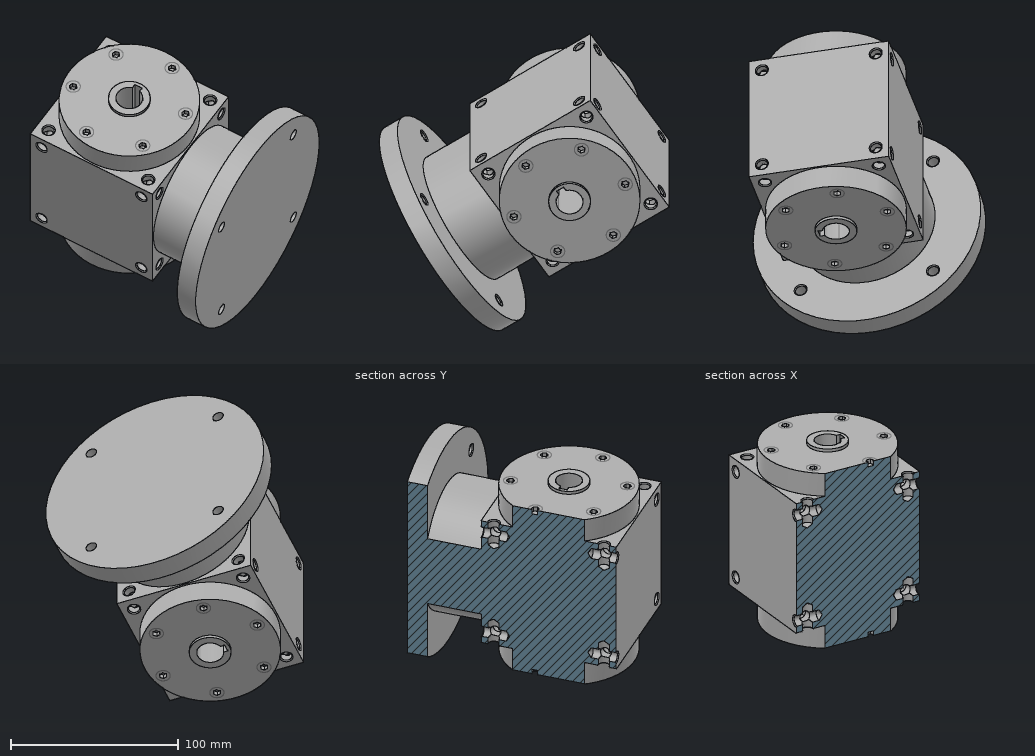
import cadquery as cq
import math

block_size = 86
neck_diameter = 84
cover_diameter = neck_diameter
cover_height = 15
cover_face = block_size / 2 + cover_height

flange_diameter = 140
flange_thickness = 13
flange_face = 90
flange_back = flange_face - flange_thickness
flange_bolt_circle = 115
flange_hole_count = 4
flange_start_angle = 45

core_diameter = 6.65
mouth_diameter = 8
countersink_angle = 90
drill_point_angle = 118
tapped_depth = 16
corner_hole_spacing = 70

screw_head_diameter = 8.5
screw_head_height = 5
socket_across_flats = 4
socket_depth = 3
screw_circle = 70
screw_count = 6
screw_start_angle = 15

shaft_diameter = 25
shaft_overhang = 2
shaft_length = 2 * (cover_face + shaft_overhang)
bore_diameter = 16
key_width = 5
key_top = 10.3


def cone_height(radius, full_angle):
    """Height over which a cone of the given full angle closes from radius to nothing."""
    return radius / math.tan(math.radians(full_angle / 2))


def tapped_hole(depth):
    """Cutter with its mouth at the origin, running down along -Z to a drill point."""
    core_radius = core_diameter / 2
    mouth_radius = mouth_diameter / 2
    countersink = cone_height(mouth_radius - core_radius, countersink_angle)
    tip = depth + cone_height(core_radius, drill_point_angle)
    return (
        cq.Workplane("XZ")
        .moveTo(0, 0)
        .lineTo(mouth_radius, 0)
        .lineTo(core_radius, -countersink)
        .lineTo(core_radius, -depth)
        .lineTo(0, -tip)
        .close()
        .revolve(360, (0, 0, 0), (0, 1, 0))
        .val()
    )


def housing_body():
    """Block with a cover above and below and a flanged neck toward +X."""
    block = cq.Workplane("XY").box(block_size, block_size, block_size)
    covers = cq.Workplane("XY").circle(cover_diameter / 2).extrude(cover_face, both=True)
    neck = cq.Workplane("YZ").circle(neck_diameter / 2).extrude(flange_back)
    flange = (
        cq.Workplane("YZ").workplane(offset=flange_back)
        .circle(flange_diameter / 2).extrude(flange_thickness)
    )
    return block.union(covers).union(neck).union(flange)


def cut_corner_holes(body):
    """Four tapped holes in the corners of each of the six block faces."""
    hole = tapped_hole(tapped_depth)
    for face in (">X", "<X", ">Y", "<Y", ">Z", "<Z"):
        cutters = (
            cq.Workplane("XY").box(block_size, block_size, block_size)
            .faces(face).workplane()
            .rect(corner_hole_spacing, corner_hole_spacing, forConstruction=True)
            .vertices()
            .eachpoint(hole, useLocalCoordinates=True)
        )
        body = body.cut(cutters)
    return body


def cut_flange_holes(body):
    """Core-drilled holes through the flange, countersunk on the side of the block."""
    hole = tapped_hole(flange_thickness)
    cutters = (
        cq.Workplane("YZ").workplane(offset=-flange_back, invert=True)
        .polarArray(flange_bolt_circle / 2, flange_start_angle, 360, flange_hole_count, rotate=False)
        .eachpoint(hole, useLocalCoordinates=True)
    )
    return body.cut(cutters)


def on_screw_circle(solid):
    """Copies of a solid standing on the XY plane, sunk below both cover faces."""
    top = (
        cq.Workplane("XY").workplane(offset=cover_face)
        .polarArray(screw_circle / 2, screw_start_angle, 360, screw_count)
        .eachpoint(solid, useLocalCoordinates=True, combine=False)
    )
    return top.add(top.mirror("XY"))


def set_cover_screws(body):
    """Flush screw heads with hexagon sockets; each head keeps its round outline in the cover face."""
    socket_corners = socket_across_flats / math.cos(math.pi / 6)
    head = cq.Workplane("XY").circle(screw_head_diameter / 2).extrude(-screw_head_height)
    socket = cq.Workplane("XY").polygon(6, socket_corners).extrude(-socket_depth)
    heads = on_screw_circle(head.cut(socket).val())
    counterbores = on_screw_circle(head.val())
    body = body.cut(cq.Workplane(cq.Compound.makeCompound(counterbores.vals())))
    for screw_head in heads.vals():
        body = body.union(cq.Workplane(screw_head), clean=False)
    return body


def output_shaft():
    """Hollow shaft along Z with a keyway on the +Y side of its bore."""
    bore = cq.Workplane("XY").circle(bore_diameter / 2).extrude(shaft_length / 2, both=True)
    keyway = cq.Workplane("XY").box(key_width, key_top, shaft_length).translate((0, key_top / 2, 0))
    shaft = cq.Workplane("XY").circle(shaft_diameter / 2).extrude(shaft_length / 2, both=True)
    return shaft.cut(bore).cut(keyway)


def shaft_seat():
    """Round passage through the housing that the output shaft fills."""
    return cq.Workplane("XY").circle(shaft_diameter / 2).extrude(cover_face, both=True)


housing = housing_body()
housing = cut_corner_holes(housing)
housing = cut_flange_holes(housing)
housing = housing.cut(shaft_seat())
housing = set_cover_screws(housing)
shaft = output_shaft()

result = cq.Compound.makeCompound([housing.val(), shaft.val()])